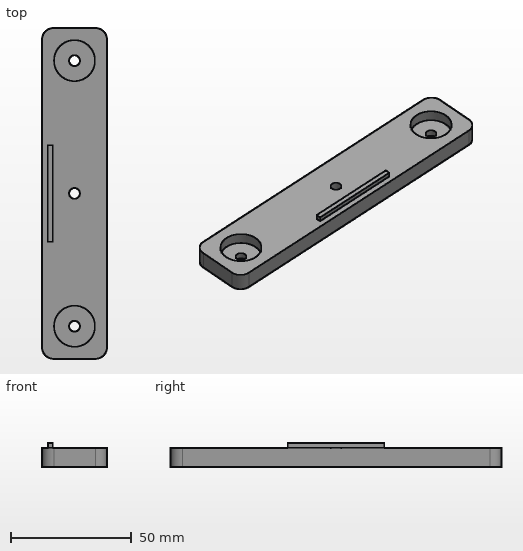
import cadquery as cq

width = 27.0
length = 137.0
total_height = 10.0
rib_height = 2.0
plate_height = total_height - rib_height
corner_radius = 5.0

hole_diameter = 4.4
counterbore_diameter = 17.0
counterbore_depth = 5.0
end_hole_offset = 55.0

rib_width = 2.0
rib_length = 40.0
rib_edge_gap = 2.5
rib_x = -width / 2 + rib_edge_gap + rib_width / 2


def make_plate():
    plate = cq.Workplane("XY").box(width, length, plate_height, centered=(True, True, False))
    return plate.edges("|Z").fillet(corner_radius)


def cut_holes(plate):
    end_points = [(0, -end_hole_offset), (0, end_hole_offset)]
    top = plate.faces(">Z").workplane(origin=(0, 0, plate_height))
    drilled = top.hole(hole_diameter)
    return (
        drilled.faces(">Z")
        .workplane(origin=(0, 0, plate_height))
        .pushPoints(end_points)
        .cboreHole(hole_diameter, counterbore_diameter, counterbore_depth)
    )


def make_rib():
    return (
        cq.Workplane("XY")
        .center(rib_x, 0)
        .rect(rib_width, rib_length)
        .extrude(total_height)
    )


result = cut_holes(make_plate()).union(make_rib())